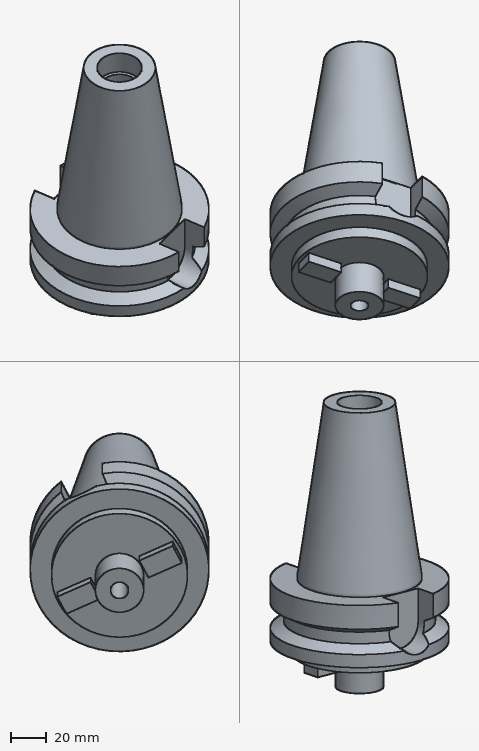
import cadquery as cq

total_height = 166.8

spigot_diameter = 27.0
spigot_length = 20.0

register_diameter = 76.0
register_height = 6.8

flange_diameter = 100.0
flange_height = 36.5
lower_rim_height = 7.7
groove_diameter = 85.0
groove_floor_width = 6.8
groove_flank_height = 4.0

gauge_diameter = 69.9
gauge_collar_height = 1.5
taper_ratio = 7 / 24

drive_slot_width = 25.7
drive_slot_flat_offset = 35.4
drive_slot_bottom_above_flange = 4.0

key_width = 11.7
key_inner_y = 15.2
key_outer_y = 35.9
key_height = 6.0

mouth_bore_diameter = 25.0
mouth_bore_depth = 13.7
thread_bore_diameter = 20.8
thread_bore_depth = 60.0
through_hole_diameter = 10.0

register_bottom = spigot_length
flange_bottom = register_bottom + register_height
lower_rim_top = flange_bottom + lower_rim_height
groove_floor_bottom = lower_rim_top + groove_flank_height
groove_floor_top = groove_floor_bottom + groove_floor_width
upper_rim_bottom = groove_floor_top + groove_flank_height
flange_top = flange_bottom + flange_height
gauge_level = flange_top + gauge_collar_height
taper_small_diameter = gauge_diameter - taper_ratio * (total_height - gauge_level)


def turned_body():
    """Revolved spigot, register, grooved flange and taper shank."""
    steps = [
        (spigot_diameter, 0),
        (spigot_diameter, register_bottom),
        (register_diameter, register_bottom),
        (register_diameter, flange_bottom),
        (flange_diameter, flange_bottom),
        (flange_diameter, lower_rim_top),
        (groove_diameter, groove_floor_bottom),
        (groove_diameter, groove_floor_top),
        (flange_diameter, upper_rim_bottom),
        (flange_diameter, flange_top),
        (gauge_diameter, flange_top),
        (gauge_diameter, gauge_level),
        (taper_small_diameter, total_height),
    ]
    outline = [(0, 0)]
    outline += [(diameter / 2, level) for diameter, level in steps]
    outline.append((0, total_height))
    return cq.Workplane("XZ").polyline(outline).close().revolve(360, (0, 0), (0, 1))


def drive_slot(side):
    """Round-bottomed slot, open upward and outward, on the +X or -X side."""
    radius = drive_slot_width / 2
    slot_bottom = flange_bottom + drive_slot_bottom_above_flange
    slot_depth = flange_diameter / 2 - drive_slot_flat_offset
    return (
        cq.Workplane("YZ", origin=(side * drive_slot_flat_offset, 0, 0))
        .moveTo(-radius, flange_top)
        .lineTo(-radius, slot_bottom + radius)
        .threePointArc((0, slot_bottom), (radius, slot_bottom + radius))
        .lineTo(radius, flange_top)
        .close()
        .extrude(side * slot_depth)
    )


def drive_key(side):
    """Rectangular key below the register on the +Y or -Y side."""
    key_length = key_outer_y - key_inner_y
    key_center_y = side * (key_inner_y + key_outer_y) / 2
    root_level = flange_bottom
    return (
        cq.Workplane("XY", origin=(0, key_center_y, root_level))
        .rect(key_width, key_length)
        .extrude(register_bottom - key_height - root_level)
    )


def bore(diameter, depth):
    """Axial bore sunk from the small end of the taper."""
    return cq.Workplane("XY", origin=(0, 0, total_height)).circle(diameter / 2).extrude(-depth)


result = turned_body()

for side in (-1, 1):
    result = result.cut(drive_slot(side))
    result = result.union(drive_key(side))

result = result.cut(bore(mouth_bore_diameter, mouth_bore_depth))
result = result.cut(bore(thread_bore_diameter, thread_bore_depth))
result = result.cut(bore(through_hole_diameter, total_height))